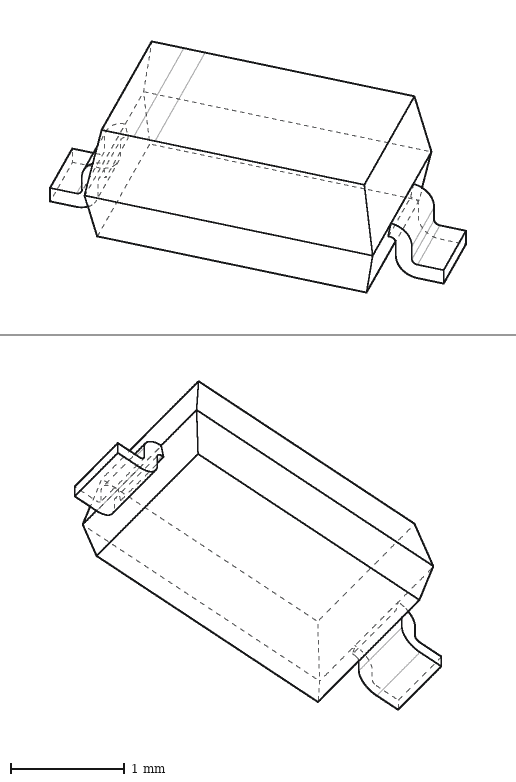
import cadquery as cq
import math

body_length = 2.695
body_width = 1.6
body_top = 1.22
body_bottom = 0.05
parting_height = 0.55
draft_angle = 10

overall_length = 3.68
lead_width = 0.607
lead_thickness = 0.15
inner_bend_radius = 0.05
outer_bend_radius = inner_bend_radius + lead_thickness
foot_length = 0.245
lead_embedment = 0.11

band_offset = 0.298
band_width = 0.2
band_depth = 0.02


def make_body():
    upper = (
        cq.Workplane("XY", origin=(0, 0, parting_height))
        .rect(body_length, body_width)
        .extrude(body_top - parting_height, taper=draft_angle)
    )
    lower = (
        cq.Workplane("XY", origin=(0, 0, parting_height))
        .rect(body_length, body_width)
        .extrude(body_bottom - parting_height, taper=draft_angle)
    )
    return upper.union(lower)


def make_left_lead():
    tip_x = -overall_length / 2
    foot_end_x = tip_x + foot_length
    outer_face_x = foot_end_x + inner_bend_radius
    inner_face_x = outer_face_x + lead_thickness
    upper_bend_x = outer_face_x + outer_bend_radius
    end_x = upper_bend_x + lead_embedment
    upper_bend_z = parting_height - outer_bend_radius
    underside_z = parting_height - lead_thickness
    profile = (
        cq.Workplane("XZ")
        .moveTo(tip_x, 0)
        .lineTo(foot_end_x, 0)
        .radiusArc((inner_face_x, outer_bend_radius), -outer_bend_radius)
        .lineTo(inner_face_x, upper_bend_z)
        .radiusArc((upper_bend_x, underside_z), inner_bend_radius)
        .lineTo(end_x, underside_z)
        .lineTo(end_x, parting_height)
        .lineTo(upper_bend_x, parting_height)
        .radiusArc((outer_face_x, upper_bend_z), -outer_bend_radius)
        .lineTo(outer_face_x, outer_bend_radius)
        .radiusArc((foot_end_x, lead_thickness), inner_bend_radius)
        .lineTo(tip_x, lead_thickness)
        .close()
    )
    return profile.extrude(lead_width / 2, both=True)


def make_band():
    top_draft = (body_top - parting_height) * math.tan(math.radians(draft_angle))
    top_length = body_length - 2 * top_draft
    band_centre_x = -top_length / 2 + band_offset + band_width / 2
    return (
        cq.Workplane("XY", origin=(band_centre_x, 0, body_top))
        .rect(band_width, body_width - 2 * top_draft)
        .extrude(-band_depth)
    )


left_lead = make_left_lead()
right_lead = left_lead.mirror("YZ")
package = make_body().union(left_lead).union(right_lead)

band = make_band()
result = package.cut(band).union(band, clean=False)